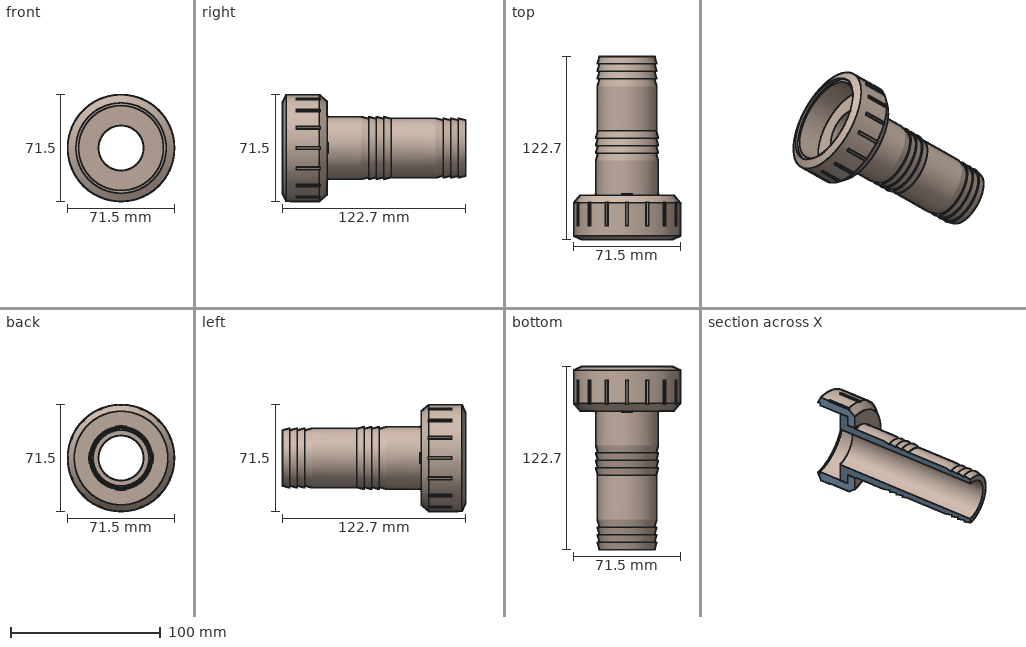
import cadquery as cq

TOTAL_LENGTH = 122.7

NUT_DIAMETER = 71.5
NUT_LENGTH = 30.0
NUT_FRONT_CHAMFER_LENGTH = 2.6
NUT_REAR_RADIUS = 31.3
NUT_REAR_CHAMFER_LENGTH = 5.3
CAVITY_RADIUS = 28.3
MOUTH_RADIUS = 30.2
MOUTH_DEPTH = 2.0

GROOVE_COUNT = 16
GROOVE_WIDTH = 1.8
GROOVE_DEPTH = 0.5
GROOVE_START = 9.3

BORE_RADIUS = 15.0
NECK_RADIUS = 21.0
HOSE_RADIUS = 20.0
FLANGE_FRONT = 18.0
FLANGE_THICKNESS = 6.1

TOOTH_COUNT = 4
TOOTH_PITCH = 5.0
NECK_BARBS_START = 52.9
NECK_BARB_ROOT_RADIUS = 19.6
TIP_BARB_ROOT_RADIUS = 18.7

TAB_COUNT = 4
TAB_WIDTH = 7.1
TAB_LENGTH = 0.7
TAB_RISE = 0.5

NUT_RADIUS = NUT_DIAMETER / 2
FLANGE_REAR = FLANGE_FRONT + FLANGE_THICKNESS
BARBS_LENGTH = TOOTH_COUNT * TOOTH_PITCH
TIP_BARBS_START = TOTAL_LENGTH - BARBS_LENGTH


def revolve_about_y(points):
    """Revolve a closed (radius, Y) outline a full turn about the Y axis."""
    return cq.Workplane("ZY").polyline(points).close().revolve(360, (0, 0, 0), (0, 1, 0))


def barb_points(start, crest_radius, root_radius):
    """Outline of one barb group, from its wide end at start towards the hose end."""
    points = []
    for tooth in range(TOOTH_COUNT):
        tooth_start = start + tooth * TOOTH_PITCH
        points.append((crest_radius, tooth_start))
        points.append((root_radius, tooth_start + TOOTH_PITCH))
    return points


def make_groove_cutter():
    """Block that cuts the grip groove on the +X side, open through the rear chamfer."""
    floor_radius = NUT_RADIUS - GROOVE_DEPTH
    return cq.Workplane("XY").box(
        2 * GROOVE_DEPTH, NUT_LENGTH - GROOVE_START, GROOVE_WIDTH, centered=(False, False, True)
    ).translate((floor_radius, GROOVE_START, 0))


def make_nut():
    nut = revolve_about_y([
        (CAVITY_RADIUS, MOUTH_DEPTH),
        (MOUTH_RADIUS, MOUTH_DEPTH),
        (MOUTH_RADIUS, 0),
        (NUT_RADIUS, NUT_FRONT_CHAMFER_LENGTH),
        (NUT_RADIUS, NUT_LENGTH - NUT_REAR_CHAMFER_LENGTH),
        (NUT_REAR_RADIUS, NUT_LENGTH),
        (NECK_RADIUS, NUT_LENGTH),
        (NECK_RADIUS, FLANGE_REAR),
        (CAVITY_RADIUS, FLANGE_REAR),
    ])
    cutter = make_groove_cutter()
    for index in range(GROOVE_COUNT):
        angle = index * 360 / GROOVE_COUNT
        nut = nut.cut(cutter.rotate((0, 0, 0), (0, 1, 0), angle))
    return nut


def make_tab_ring():
    """Conical collar on the neck, highest at the rear face of the nut."""
    return revolve_about_y([
        (BORE_RADIUS, NUT_LENGTH),
        (NECK_RADIUS + TAB_RISE, NUT_LENGTH),
        (NECK_RADIUS, NUT_LENGTH + TAB_LENGTH),
        (BORE_RADIUS, NUT_LENGTH + TAB_LENGTH),
    ])


def make_tab(angle):
    """Part of the conical collar that lies within the tab width, at the given angle from +X."""
    strip = cq.Workplane("XY").box(
        NUT_RADIUS, NUT_LENGTH + TAB_LENGTH, TAB_WIDTH, centered=(False, False, True)
    )
    return make_tab_ring().intersect(strip.rotate((0, 0, 0), (0, 1, 0), angle))


def make_hose_tail():
    tail = revolve_about_y([
        (BORE_RADIUS, FLANGE_FRONT),
        (CAVITY_RADIUS, FLANGE_FRONT),
        (CAVITY_RADIUS, FLANGE_REAR),
        (NECK_RADIUS, FLANGE_REAR),
        *barb_points(NECK_BARBS_START, NECK_RADIUS, NECK_BARB_ROOT_RADIUS),
        (HOSE_RADIUS, NECK_BARBS_START + BARBS_LENGTH),
        *barb_points(TIP_BARBS_START, HOSE_RADIUS, TIP_BARB_ROOT_RADIUS),
        (BORE_RADIUS, TOTAL_LENGTH),
    ])
    for index in range(TAB_COUNT):
        tail = tail.union(make_tab(index * 360 / TAB_COUNT))
    return tail


nut = make_nut()
hose_tail = make_hose_tail()

result = cq.Compound.makeCompound([nut.solids().val(), hose_tail.solids().val()])